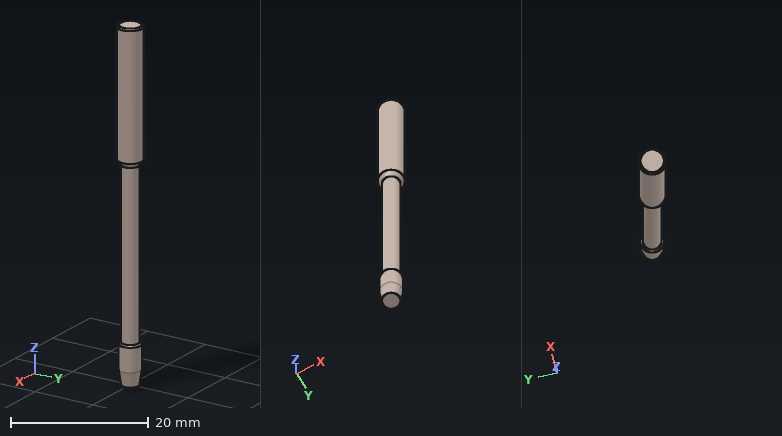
import cadquery as cq

total_length = 56.0

shank_diameter = 4.0
shank_top_chamfer = 0.3
shank_bottom_height = 35.05
neck_diameter = 2.75
neck_top_height = 34.2

tip_diameter = 3.5
tip_end_diameter = 2.75
tip_height = 6.65
tip_taper_height = 2.45
tip_shoulder_height = 0.3


def turned_body(profile):
    """Revolve a closed (radius, height) outline about the Z axis."""
    return cq.Workplane("XZ").polyline(profile).close().revolve(360, (0, 0), (0, 1))


def make_holder():
    """Cylindrical shank with a chamfered top, tapering into a slender neck."""
    shank_radius = shank_diameter / 2
    neck_radius = neck_diameter / 2
    return turned_body([
        (0, tip_height),
        (neck_radius, tip_height),
        (neck_radius, neck_top_height),
        (shank_radius, shank_bottom_height),
        (shank_radius, total_length - shank_top_chamfer),
        (shank_radius - shank_top_chamfer, total_length),
        (0, total_length),
    ])


def make_tip():
    """Tip below the neck: conical shoulder flush with the neck, cylinder and tapered lower end."""
    tip_radius = tip_diameter / 2
    return turned_body([
        (0, 0),
        (tip_end_diameter / 2, 0),
        (tip_radius, tip_taper_height),
        (tip_radius, tip_height - tip_shoulder_height),
        (neck_diameter / 2, tip_height),
        (0, tip_height),
    ])


holder = make_holder()
tip = make_tip()

result = cq.Compound.makeCompound([holder.val(), tip.val()])